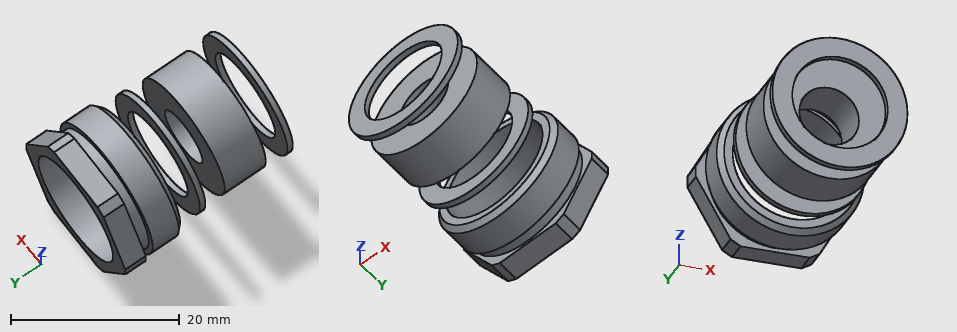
import cadquery as cq
import math

gap = 3.0
washer_thickness = 0.8
seal_length = 6.02

hex_length = 3.0
hex_across_flats = 18.0
hex_across_cut_corners = 19.95
neck_length = 1.5
neck_diameter = 17.0
collar_length = 4.5
collar_diameter = 18.59
collar_chamfer = 0.7
nut_bore_diameter = 15.0
nut_length = hex_length + neck_length + collar_length

washer_diameter = neck_diameter
washer_bore_diameter = 12.0
seal_diameter = 16.5
seal_bore_diameter = 7.5

inner_washer_start = nut_length + gap
seal_start = inner_washer_start + washer_thickness + gap
outer_washer_start = seal_start + seal_length + gap


def station(distance):
    """Workplane at the given distance from Y = 0, extruding toward -Y."""
    return cq.Workplane("XZ", origin=(0, -distance, 0))


def make_ring(start, outer_diameter, bore_diameter, length):
    """Plain ring on the Y axis."""
    return station(start).circle(outer_diameter / 2).circle(bore_diameter / 2).extrude(length)


def make_hexagon():
    """Hexagon with flats facing up and down and its six corners cut flat."""
    hex_across_corners = hex_across_flats / math.cos(math.pi / 6)
    hexagon = station(0).polygon(6, hex_across_corners).extrude(hex_length)
    corner_cutter = (
        station(0)
        .polygon(6, hex_across_cut_corners / math.cos(math.pi / 6))
        .extrude(hex_length)
        .rotate((0, 0, 0), (0, 1, 0), 30)
    )
    return hexagon.intersect(corner_cutter)


def make_clamp_nut():
    """Hexagon head, neck and chamfered collar with one through bore."""
    neck = station(hex_length).circle(neck_diameter / 2).extrude(neck_length)
    collar = (
        station(hex_length + neck_length)
        .circle(collar_diameter / 2)
        .extrude(collar_length)
        .faces("<Y")
        .chamfer(collar_chamfer)
    )
    bore = station(0).circle(nut_bore_diameter / 2).extrude(nut_length)
    return make_hexagon().union(neck).union(collar).cut(bore)


def make_washer(start):
    return make_ring(start, washer_diameter, washer_bore_diameter, washer_thickness)


clamp_nut = make_clamp_nut()
seal = make_ring(seal_start, seal_diameter, seal_bore_diameter, seal_length)
washers = [make_washer(start) for start in (inner_washer_start, outer_washer_start)]

result = cq.Compound.makeCompound(
    [clamp_nut.val(), seal.val(), *[washer.val() for washer in washers]]
)